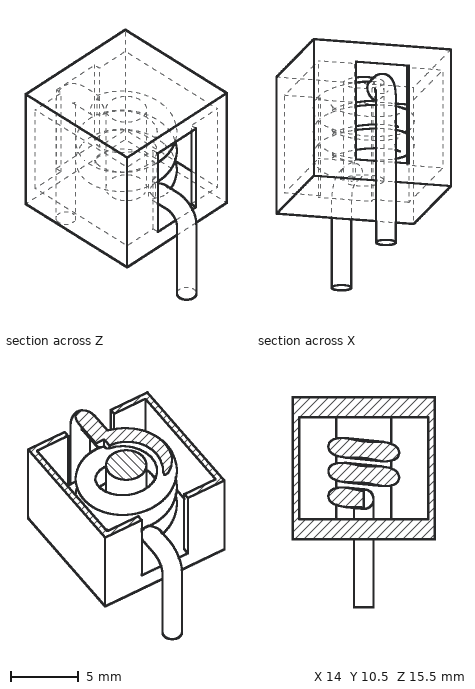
import cadquery as cq

CUBE_SIDE = 10.5
CUBE_TOP = 15.5
CAVITY_HEIGHT = 7.5
SIDE_WALL = 0.5
WINDOW_WIDTH = 4.03

POST_DIAMETER = 3.0

WIRE_DIAMETER = 1.45
COIL_RADIUS = 3.0
COIL_TURNS = 2.5
UPPER_LEAD_HEIGHT = 12.54
LOWER_LEAD_HEIGHT = 7.98
LEAD_SPAN = 13.95
BEND_RADIUS = 1.45

CAVITY_SIDE = CUBE_SIDE - 2 * SIDE_WALL
CUBE_CENTRE_HEIGHT = CUBE_TOP - CUBE_SIDE / 2
CAVITY_FLOOR = CUBE_CENTRE_HEIGHT - CAVITY_HEIGHT / 2
WIRE_RADIUS = WIRE_DIAMETER / 2
LEG_X = LEAD_SPAN / 2 - WIRE_RADIUS
COIL_RISE = UPPER_LEAD_HEIGHT - LOWER_LEAD_HEIGHT


def make_housing():
    """Cube with a square cavity, open through a window in the -X and +X walls."""
    middle = cq.Workplane("XY").workplane(offset=CUBE_CENTRE_HEIGHT)
    cube = middle.box(CUBE_SIDE, CUBE_SIDE, CUBE_SIDE)
    cavity = middle.box(CAVITY_SIDE, CAVITY_SIDE, CAVITY_HEIGHT)
    windows = middle.box(CUBE_SIDE, WINDOW_WIDTH, CAVITY_HEIGHT)
    return cube.cut(cavity).cut(windows)


def make_post():
    """Round post from the cavity floor to the cavity ceiling."""
    floor = cq.Workplane("XY").workplane(offset=CAVITY_FLOOR)
    return floor.circle(POST_DIAMETER / 2).extrude(CAVITY_HEIGHT)


def make_coil():
    """Right-handed helix that starts on the +X side and climbs to the -X side."""
    pitch = COIL_RISE / COIL_TURNS
    helix = cq.Wire.makeHelix(pitch, COIL_RISE, COIL_RADIUS)
    coil = cq.Workplane("XZ").center(COIL_RADIUS, 0).circle(WIRE_RADIUS).sweep(helix, isFrenet=True)
    return coil.translate((0, 0, LOWER_LEAD_HEIGHT))


def make_lead(side, height):
    """Lead from the centre of the coiled wire out, then down to Z = 0; side is -1 or +1 along X."""
    bend_start_x = side * (LEG_X - BEND_RADIUS)
    path = (
        cq.Workplane("XZ")
        .moveTo(side * LEG_X, 0)
        .lineTo(side * LEG_X, height - BEND_RADIUS)
        .tangentArcPoint((bend_start_x, height), relative=False)
        .lineTo(side * COIL_RADIUS, height)
    )
    return cq.Workplane("XY").center(side * LEG_X, 0).circle(WIRE_RADIUS).sweep(path)


def make_winding():
    """Coil and both leads, one continuous wire."""
    upper_lead = make_lead(-1, UPPER_LEAD_HEIGHT)
    lower_lead = make_lead(1, LOWER_LEAD_HEIGHT)
    return make_coil().union(upper_lead).union(lower_lead)


housing = make_housing()
post = make_post()
winding = make_winding()

result = cq.Compound.makeCompound([housing.val(), post.val(), winding.solids().val()])